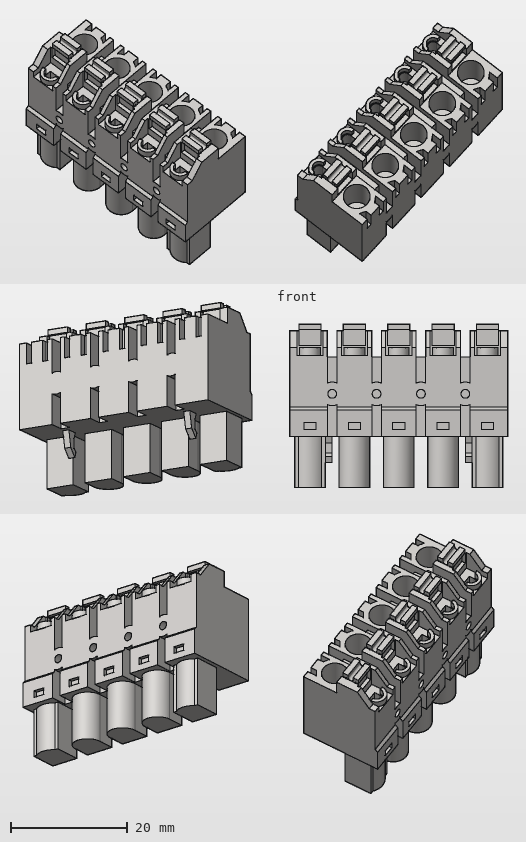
import cadquery as cq


POLE_COUNT = 5
LENGTH = 37.42
END_POLE_INSET = 3.48
POLE_PITCH = (LENGTH - 2 * END_POLE_INSET) / (POLE_COUNT - 1)
BLOCK_WIDTH = 6.0
BLOCK_GAP = POLE_PITCH - BLOCK_WIDTH
DEPTH = 15.05
POLE_X = [(i - (POLE_COUNT - 1) / 2) * POLE_PITCH for i in range(POLE_COUNT)]
GAP_X = [x + POLE_PITCH / 2 for x in POLE_X[:-1]]
END_POLES = (POLE_X[0], POLE_X[-1])

BODY_BOTTOM = 8.75
BODY_TOP = 24.05
FACE_Y = 0.52
FOOT_EDGE_Z = 13.32
FOOT_TOP = 13.8
TOWER_TOP = 26.95
TOWER_BACK = 8.3
TOWER_FRONT = 4.1
SLOPE_FOOT_Y = 1.72

WEB_FRONT = 3.48
WEB_BACK = 11.97
WEB_TOP = 22.45
BRIDGE_Z = 16.1
BRIDGE_RADIUS = 2.02
BRIDGE_HOLE_DIAMETER = 1.5

POCKET_WIDTH = 4.5
POCKET_BACK = 4.83
POCKET_FLOOR = 22.7
COLLAR_Y = 2.45
COLLAR_RADIUS = 1.8
COLLAR_INNER_RADIUS = 1.15
COLLAR_HEIGHT = 1.3
TEST_HOLE_WIDTH = 1.95
TEST_HOLE_BACK = 3.4
TEST_HOLE_DEPTH = 3.75

WIRE_DIAMETER = 4.55
WIRE_Y = 10.9
WIRE_DEPTH = 7.5
NOTCH_INNER_X = 1.12
NOTCH_OUTER_X = 2.15
NOTCH_INNER_Y = 13.92
NOTCH_OUTER_Y = 13.32
NOTCH_DEPTH = 3.75

WINDOW_WIDTH = 2.1
WINDOW_HEIGHT = 1.25
WINDOW_Z = 10.55
WINDOW_DEPTH = 0.75

PLUG_WIDTH = 5.3
PLUG_FRONT = 1.2
PLUG_BACK = 7.22
END_PLUG_WIDTH = 5.25
END_PLUG_FACE_Y = 1.95
END_PLUG_BULGE_WIDTH = 3.95

LATCH_WIDTH = 1.2
LATCH_PROFILE = [
    (8.55, BODY_BOTTOM),
    (8.95, 7.67),
    (8.95, 5.9),
    (8.3, 5.3),
    (8.7, 4.3),
    (10.1, 5.8),
    (10.75, BODY_BOTTOM),
]

BUTTON_WIDTH = 3.85
BUTTON_BOTTOM = 24.4
BUTTON_TOP = 28.05
BUTTON_FRONT = 4.9
BUTTON_BACK = 8.05
BUTTON_HEAD_BOTTOM = 27.1
BUTTON_OVERHANG = 0.65
GROOVE_WIDTH = 1.0
GROOVE_EDGE_Z = 27.4
GROOVE_BOTTOM = 26.98


def box(x_mid, width, y_min, y_max, z_min, z_max):
    """Box centred on x_mid in X and spanning the given Y and Z ranges."""
    return (
        cq.Workplane("XY")
        .box(width, y_max - y_min, z_max - z_min, centered=(True, False, False))
        .translate((x_mid, y_min, z_min))
    )


def extrude_profile(sketch, x_mid, width):
    """Extrude a closed YZ sketch symmetrically about x_mid."""
    return sketch.extrude(width / 2, both=True).translate((x_mid, 0, 0))


def make_block(x_mid, width):
    """Block of one pole: foot, body and sloped tower."""
    profile = (
        cq.Workplane("YZ")
        .moveTo(0, BODY_BOTTOM)
        .lineTo(DEPTH, BODY_BOTTOM)
        .lineTo(DEPTH, BODY_TOP)
        .lineTo(TOWER_BACK, BODY_TOP)
        .lineTo(TOWER_BACK, TOWER_TOP)
        .lineTo(TOWER_FRONT, TOWER_TOP)
        .lineTo(SLOPE_FOOT_Y, BODY_TOP)
        .lineTo(FACE_Y, BODY_TOP)
        .lineTo(FACE_Y, FOOT_TOP)
        .lineTo(0, FOOT_EDGE_Z)
        .close()
    )
    return extrude_profile(profile, x_mid, width)


def make_blocks():
    """All blocks; the end ones reach out to the full length."""
    blocks = cq.Workplane("XY")
    for x in POLE_X:
        left = x - BLOCK_WIDTH / 2
        right = x + BLOCK_WIDTH / 2
        if x == POLE_X[0]:
            left = -LENGTH / 2
        if x == POLE_X[-1]:
            right = LENGTH / 2
        blocks = blocks.add(make_block((left + right) / 2, right - left))
    return blocks.combine()


def cylinder_along_y(x, z, radius, y_min, y_max):
    return (
        cq.Workplane("XZ", origin=(x, y_min, z))
        .circle(radius)
        .extrude(y_min - y_max)
    )


def make_joint(x):
    """Web and round bridge filling part of the gap at x, with a blind front hole."""
    web = box(x, BLOCK_GAP, WEB_FRONT, WEB_BACK, BODY_BOTTOM, WEB_TOP)
    gap = box(x, BLOCK_GAP, FACE_Y, DEPTH, BODY_BOTTOM, BODY_TOP)
    bridge = cylinder_along_y(x, BRIDGE_Z, BRIDGE_RADIUS, FACE_Y, DEPTH)
    hole = cylinder_along_y(x, BRIDGE_Z, BRIDGE_HOLE_DIAMETER / 2, FACE_Y, WEB_FRONT)
    return bridge.intersect(gap).union(web).cut(hole)


def make_pocket(x):
    return box(x, POCKET_WIDTH, 0, POCKET_BACK, POCKET_FLOOR, TOWER_TOP)


def make_collar(x):
    """Half ring standing on the pocket floor, open towards the back."""
    ring = (
        cq.Workplane("XY", origin=(x, COLLAR_Y, POCKET_FLOOR))
        .circle(COLLAR_RADIUS)
        .circle(COLLAR_INNER_RADIUS)
        .extrude(COLLAR_HEIGHT)
    )
    front_half = box(
        x, POCKET_WIDTH, 0, COLLAR_Y, POCKET_FLOOR, POCKET_FLOOR + COLLAR_HEIGHT
    )
    return ring.intersect(front_half)


def make_test_hole(x):
    """Hole in the pocket floor: square at the back, round at the front."""
    radius = TEST_HOLE_WIDTH / 2
    return (
        cq.Workplane("XY", origin=(x, 0, POCKET_FLOOR))
        .moveTo(-radius, COLLAR_Y)
        .lineTo(-radius, TEST_HOLE_BACK)
        .lineTo(radius, TEST_HOLE_BACK)
        .lineTo(radius, COLLAR_Y)
        .threePointArc((0, COLLAR_Y - radius), (-radius, COLLAR_Y))
        .close()
        .extrude(-TEST_HOLE_DEPTH)
    )


def make_wire_hole(x):
    return (
        cq.Workplane("XY", origin=(x, WIRE_Y, BODY_TOP))
        .circle(WIRE_DIAMETER / 2)
        .extrude(-WIRE_DEPTH)
    )


def make_notches(x):
    """Mirrored pair of rear notches with slanted front walls."""
    notch = (
        cq.Workplane("XY", origin=(0, 0, BODY_TOP))
        .moveTo(NOTCH_INNER_X, DEPTH)
        .lineTo(NOTCH_INNER_X, NOTCH_INNER_Y)
        .lineTo(NOTCH_OUTER_X, NOTCH_OUTER_Y)
        .lineTo(NOTCH_OUTER_X, DEPTH)
        .close()
        .extrude(-NOTCH_DEPTH)
    )
    return notch.union(notch.mirror("YZ")).translate((x, 0, 0))


def make_window(x):
    z_min = WINDOW_Z - WINDOW_HEIGHT / 2
    return box(x, WINDOW_WIDTH, 0, WINDOW_DEPTH, z_min, z_min + WINDOW_HEIGHT)


def make_button_slot(x):
    """Slot through the tower, open at the top, front and back."""
    return box(x, BUTTON_WIDTH, POCKET_BACK, TOWER_BACK, BUTTON_BOTTOM, TOWER_TOP)


def make_plug(x):
    """Plug with a flat back and a half-round front."""
    half = PLUG_WIDTH / 2
    axis_y = PLUG_FRONT + half
    return (
        cq.Workplane("XY", origin=(x, 0, 0))
        .moveTo(-half, axis_y)
        .threePointArc((0, PLUG_FRONT), (half, axis_y))
        .lineTo(half, PLUG_BACK)
        .lineTo(-half, PLUG_BACK)
        .close()
        .extrude(BODY_BOTTOM)
    )


def make_end_plug(x):
    """Rectangular plug with a bulged front."""
    half = END_PLUG_WIDTH / 2
    bulge = END_PLUG_BULGE_WIDTH / 2
    return (
        cq.Workplane("XY", origin=(x, 0, 0))
        .moveTo(-half, END_PLUG_FACE_Y)
        .lineTo(-bulge, END_PLUG_FACE_Y)
        .threePointArc((0, PLUG_FRONT), (bulge, END_PLUG_FACE_Y))
        .lineTo(half, END_PLUG_FACE_Y)
        .lineTo(half, PLUG_BACK)
        .lineTo(-half, PLUG_BACK)
        .close()
        .extrude(BODY_BOTTOM)
    )


def make_latch(x):
    """Hook on the side of an end plug that faces the middle of the row."""
    offset = (END_PLUG_WIDTH + LATCH_WIDTH) / 2
    towards_middle = -1 if x > 0 else 1
    profile = cq.Workplane("YZ").polyline(LATCH_PROFILE).close()
    return extrude_profile(profile, x + towards_middle * offset, LATCH_WIDTH)


def make_housing():
    housing = make_blocks()
    for x in GAP_X:
        housing = housing.union(make_joint(x))
    for x in POLE_X:
        housing = (
            housing.cut(make_pocket(x))
            .cut(make_test_hole(x))
            .union(make_collar(x))
            .cut(make_wire_hole(x))
            .cut(make_notches(x))
            .cut(make_window(x))
            .cut(make_button_slot(x))
        )
        if x in END_POLES:
            housing = housing.union(make_end_plug(x)).union(make_latch(x))
        else:
            housing = housing.union(make_plug(x))
    return housing.solids().val()


def make_button(x):
    """Push button: T-shaped, with a round-bottomed groove along its head."""
    stem_front = BUTTON_FRONT + BUTTON_OVERHANG
    stem_back = BUTTON_BACK - BUTTON_OVERHANG
    groove_y = (BUTTON_FRONT + BUTTON_BACK) / 2
    groove_front = groove_y - GROOVE_WIDTH / 2
    groove_back = groove_y + GROOVE_WIDTH / 2
    profile = (
        cq.Workplane("YZ")
        .moveTo(stem_front, BUTTON_BOTTOM)
        .lineTo(stem_front, BUTTON_HEAD_BOTTOM)
        .lineTo(BUTTON_FRONT, BUTTON_HEAD_BOTTOM)
        .lineTo(BUTTON_FRONT, BUTTON_TOP)
        .lineTo(groove_front, BUTTON_TOP)
        .lineTo(groove_front, GROOVE_EDGE_Z)
        .threePointArc((groove_y, GROOVE_BOTTOM), (groove_back, GROOVE_EDGE_Z))
        .lineTo(groove_back, BUTTON_TOP)
        .lineTo(BUTTON_BACK, BUTTON_TOP)
        .lineTo(BUTTON_BACK, BUTTON_HEAD_BOTTOM)
        .lineTo(stem_back, BUTTON_HEAD_BOTTOM)
        .lineTo(stem_back, BUTTON_BOTTOM)
        .close()
    )
    return extrude_profile(profile, x, BUTTON_WIDTH).val()


housing = make_housing()
buttons = [make_button(x) for x in POLE_X]

result = cq.Compound.makeCompound([housing, *buttons])